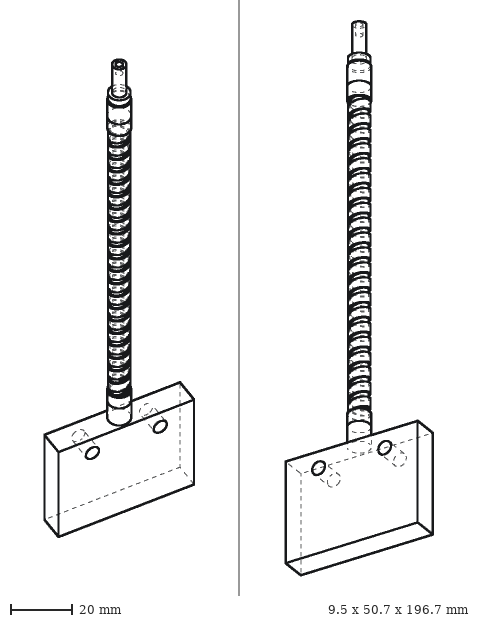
import cadquery as cq

BLOCK_THICKNESS = 9.5
BLOCK_WIDTH = 50.7
BLOCK_HEIGHT = 38.2
MOUNT_HOLE_DIAMETER = 5.0
MOUNT_HOLE_SPACING = 25.4
MOUNT_HOLE_DROP = 6.3

LOWER_FERRULE_TOP = 45.8
GROOVED_BOTTOM = 50.5
GROOVED_TOP = 168.2
CONDUIT_TOP = 173.5
UPPER_FERRULE_TOP = 184.0
OVERALL_HEIGHT = 196.7

STEM_DIAMETER = 7.9
COLLAR_DIAMETER = 7.5
GROOVED_DIAMETER = 7.5
TIP_DIAMETER = 4.7

COLLAR_HEIGHT = 2.5
COLLAR_TAPER_HEIGHT = 0.5

TIP_BORE_DIAMETER = 2.4
TIP_BORE_DEPTH = 4.0

GROOVE_TURNS = 21.9
GROOVE_WIDTH = 2.0
GROOVE_DEPTH = 0.5
GROOVE_OVERRUN = 2.4
GROOVE_START_ANGLE = 74.0
CUTTER_OVERHANG = 0.5


def rod(diameter, bottom, top):
    """Vertical cylinder on the stem axis between two levels."""
    return cq.Workplane("XY").workplane(offset=bottom).circle(diameter / 2).extrude(top - bottom)


def make_block():
    block = cq.Workplane("XY").box(BLOCK_THICKNESS, BLOCK_WIDTH, BLOCK_HEIGHT, centered=(True, True, False))
    holes = (
        cq.Workplane("YZ")
        .pushPoints([(side * MOUNT_HOLE_SPACING / 2, BLOCK_HEIGHT - MOUNT_HOLE_DROP) for side in (-1, 1)])
        .circle(MOUNT_HOLE_DIAMETER / 2)
        .extrude(BLOCK_THICKNESS / 2, both=True)
    )
    return block.cut(holes)


def make_lower_ferrule():
    return rod(STEM_DIAMETER, BLOCK_HEIGHT, LOWER_FERRULE_TOP)


def make_groove_cutter():
    """Right-handed helical bar that overruns both ends of the grooved stretch."""
    floor_radius = GROOVED_DIAMETER / 2 - GROOVE_DEPTH
    bar_depth = GROOVE_DEPTH + CUTTER_OVERHANG
    helix_height = GROOVED_TOP - GROOVED_BOTTOM + 2 * GROOVE_OVERRUN
    helix = cq.Wire.makeHelix(helix_height / GROOVE_TURNS, helix_height, floor_radius)
    bar = (
        cq.Workplane("XZ")
        .center(floor_radius + bar_depth / 2, 0)
        .rect(bar_depth, GROOVE_WIDTH)
        .sweep(cq.Workplane(obj=helix), isFrenet=True)
    )
    turned_bar = bar.rotate((0, 0, 0), (0, 0, 1), GROOVE_START_ANGLE)
    return turned_bar.translate((0, 0, GROOVED_BOTTOM - GROOVE_OVERRUN))


def make_conduit():
    """Grooved rod whose two ends are filled out to plain lengths of full diameter."""
    grooved = rod(GROOVED_DIAMETER, LOWER_FERRULE_TOP, CONDUIT_TOP).cut(make_groove_cutter())
    lower_end = rod(STEM_DIAMETER, LOWER_FERRULE_TOP, GROOVED_BOTTOM)
    upper_end = rod(STEM_DIAMETER, GROOVED_TOP, CONDUIT_TOP)
    return grooved.union(lower_end).union(upper_end)


def make_upper_ferrule():
    """Solid turned plug that tapers in to a slightly thinner collar."""
    plug_radius = STEM_DIAMETER / 2
    collar_radius = COLLAR_DIAMETER / 2
    collar_bottom = UPPER_FERRULE_TOP - COLLAR_HEIGHT
    half_section = [
        (0, CONDUIT_TOP),
        (plug_radius, CONDUIT_TOP),
        (plug_radius, collar_bottom - COLLAR_TAPER_HEIGHT),
        (collar_radius, collar_bottom),
        (collar_radius, UPPER_FERRULE_TOP),
        (0, UPPER_FERRULE_TOP),
    ]
    return cq.Workplane("XZ").polyline(half_section).close().revolve(360, (0, 0), (0, 1))


def make_tip():
    tip = rod(TIP_DIAMETER, UPPER_FERRULE_TOP, OVERALL_HEIGHT)
    return tip.cut(rod(TIP_BORE_DIAMETER, OVERALL_HEIGHT - TIP_BORE_DEPTH, OVERALL_HEIGHT))


block = make_block()
lower_ferrule = make_lower_ferrule()
conduit = make_conduit()
upper_ferrule = make_upper_ferrule()
tip = make_tip()

result = cq.Compound.makeCompound(
    [block.val(), lower_ferrule.val(), conduit.val(), upper_ferrule.val(), tip.val()]
)